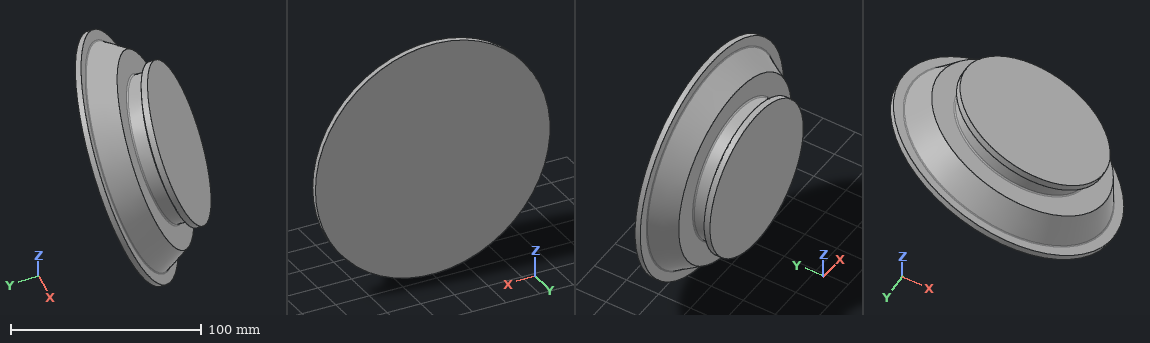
import cadquery as cq

rim_radius = 69.8
rim_thickness = 3.4
cone_base_radius = 63.5
cone_top_radius = 55.0
neck_radius = 41.0
flange_radius = 45.5
flange_edge_thickness = 3.6
root_fillet_radius = 0.7

cone_front = 17.9
bevel_start = 26.1
total_depth = 31.3
bevel_end = total_depth - flange_edge_thickness


def turned_body():
    """Revolve the half section, given as (radius, Y), with the rim back at Y = 0."""
    half_section = [
        (0, 0),
        (rim_radius, 0),
        (rim_radius, -rim_thickness),
        (cone_base_radius, -rim_thickness),
        (cone_top_radius, -cone_front),
        (neck_radius, -cone_front),
        (neck_radius, -bevel_start),
        (flange_radius, -bevel_end),
        (flange_radius, -total_depth),
        (0, -total_depth),
    ]
    profile = cq.Workplane("XY").polyline(half_section).close()
    return profile.revolve(360, (0, 0, 0), (0, 1, 0))


def round_root(body, corner_radius, depth):
    """Fillet the circular inside corner of the given radius at the given depth."""
    reach = corner_radius + root_fillet_radius
    corner_box = cq.selectors.BoxSelector(
        (-reach, -depth - root_fillet_radius, -reach),
        (reach, -depth + root_fillet_radius, reach),
        boundingbox=True,
    )
    corner_edge = body.edges("%CIRCLE").edges(corner_box)
    return corner_edge.fillet(root_fillet_radius)


result = turned_body()
result = round_root(result, cone_base_radius, rim_thickness)
result = round_root(result, neck_radius, cone_front)